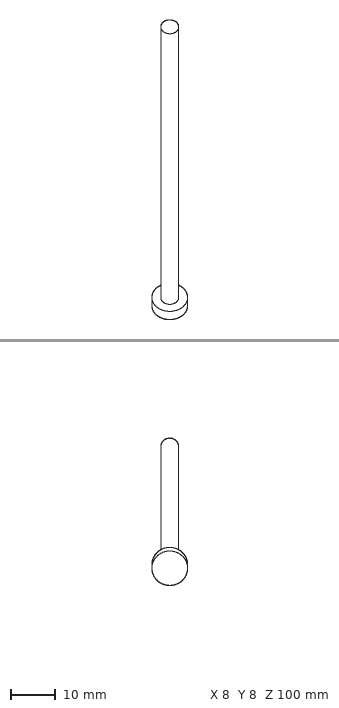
import cadquery as cq

total_length = 100.0
shank_diameter = 4.0
head_diameter = 2 * shank_diameter
head_height = 3.0

head = cq.Workplane("XY").circle(head_diameter / 2).extrude(head_height)
shank = cq.Workplane("XY").circle(shank_diameter / 2).extrude(total_length)

result = head.union(shank)